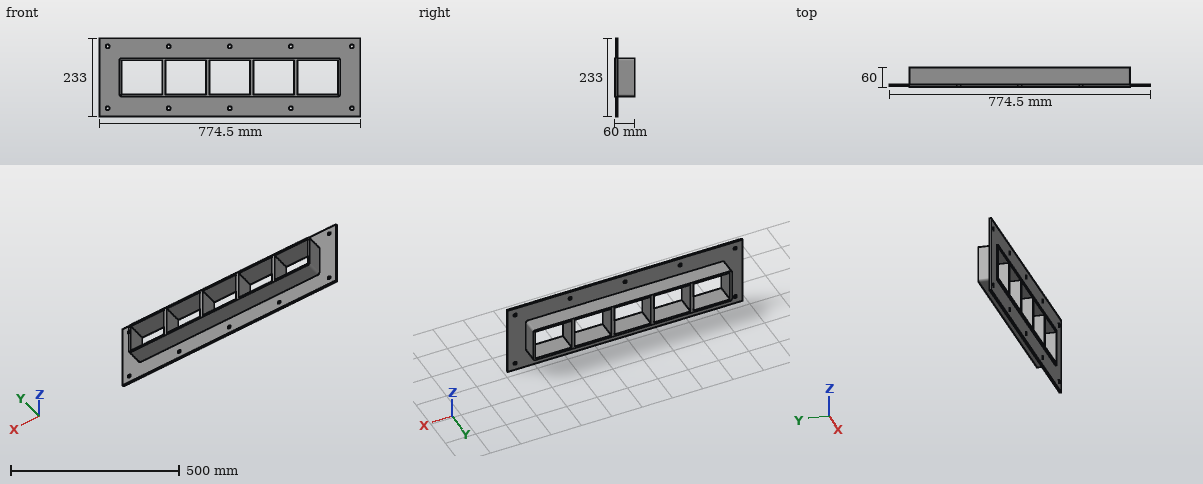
import cadquery as cq

plate_length = 774.5
plate_height = 233.0
plate_thickness = 6.05
plate_setback = 2.7

frame_length = 655.0
frame_height = 115.0
frame_depth = 60.0
corner_radius = 8.0

opening_count = 5
opening_height = 101.0
frame_wall = (frame_height - opening_height) / 2
divider_thickness = 11.0
clear_length = frame_length - 2 * frame_wall - (opening_count - 1) * divider_thickness
opening_length = clear_length / opening_count
opening_pitch = opening_length + divider_thickness

hole_diameter = 11.0
hole_columns = 5
hole_rows = 2
hole_margin = 25.0
hole_pitch_x = (plate_length - 2 * hole_margin) / (hole_columns - 1)
hole_pitch_z = plate_height - 2 * hole_margin


def block(length, depth, height, front):
    """Box centred on X and Z that extends toward +Y from its front face."""
    return cq.Workplane("XY").box(length, depth, height, centered=(True, False, True)).translate((0, front, 0))


def make_plate():
    plate = block(plate_length, plate_thickness, plate_height, plate_setback)
    return (
        plate.faces("<Y").workplane(centerOption="CenterOfBoundBox")
        .rarray(hole_pitch_x, hole_pitch_z, hole_columns, hole_rows)
        .hole(hole_diameter)
    )


def make_frame():
    return block(frame_length, frame_depth, frame_height, 0).edges("|Y").fillet(corner_radius)


def cut_openings(body):
    for index in range(opening_count):
        x = (index - (opening_count - 1) / 2) * opening_pitch
        opening = block(opening_length, frame_depth, opening_height, 0)
        body = body.cut(opening.translate((x, 0, 0)))
    return body


result = cut_openings(make_plate().union(make_frame()))